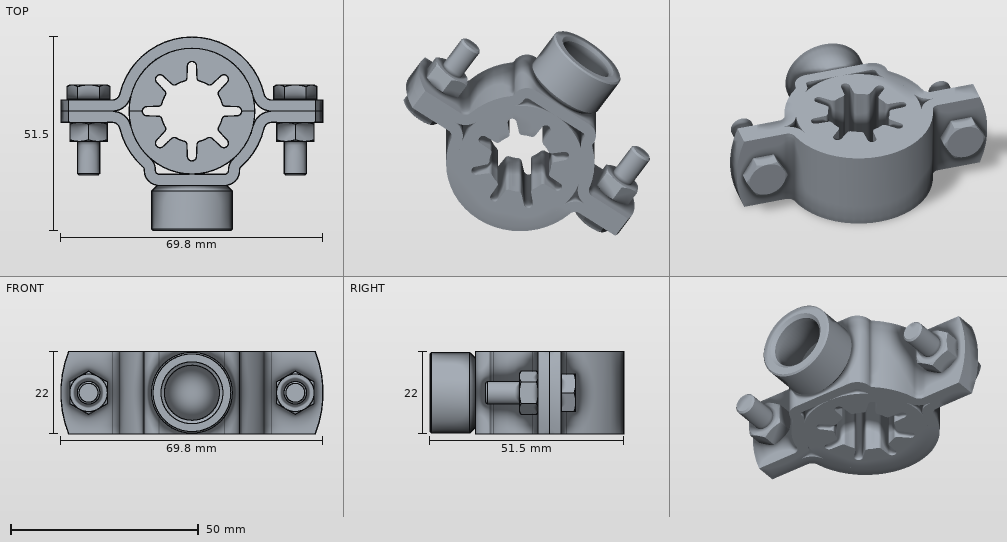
import cadquery as cq
import math


band_width = 22.0
band_thickness = 3.0
liner_radius = 16.75
band_radius = liner_radius + band_thickness
ear_bend_radius = 2.0
ear_tip_x = 34.9
ear_corner_x = 32.8

seat_half_length = 8.7
seat_bend_radius = 1.0
leg_outer_x = seat_half_length + seat_bend_radius + band_thickness

socket_radius = 10.75
socket_length = 12.0
socket_base_chamfer = 1.5
socket_rim_chamfer = 0.4
bore_radius = 7.3
bore_chamfer = 0.9

tooth_count = 8
tooth_radius = 8.25
tooth_corner_radius = 1.0
slot_tip_reach = 13.2
slot_tip_radius = 1.2
slot_mouth_half_width = 1.3

bolt_x = 27.5
bolt_radius = 3.0
bolt_reach = 17.05
bolt_tip_chamfer = 0.5
hex_sides = 6
hex_half_sector = 180 / hex_sides
across_flats = 10.0
hex_corner_radius = across_flats / 2 / math.cos(math.radians(hex_half_sector))
head_top_y = 7.0
washer_face_radius = 4.5
washer_face_height = 0.2
nut_height = 5.0
hex_chamfer_angle = 30

ear_bend_y = band_thickness + ear_bend_radius
ear_bend_distance = band_radius + ear_bend_radius
ear_start_x = math.sqrt(ear_bend_distance**2 - ear_bend_y**2)
ear_angle = math.degrees(math.asin(ear_bend_y / ear_bend_distance))

leg_bend_x = leg_outer_x + seat_bend_radius
leg_bend_distance = band_radius + seat_bend_radius
leg_bend_y = math.sqrt(leg_bend_distance**2 - leg_bend_x**2)
leg_angle = math.degrees(math.acos(leg_bend_x / leg_bend_distance))
leg_end_y = liner_radius - seat_bend_radius


def polar(center, radius, angle):
    """Point at the given angle in degrees on a circle."""
    turn = math.radians(angle)
    return (center[0] + radius * math.cos(turn), center[1] + radius * math.sin(turn))


def curved_strip(center, inner_radius, start, end):
    """Strip of band bent around a centre between two angles."""
    outer_radius = inner_radius + band_thickness
    middle = (start + end) / 2
    return (
        cq.Workplane("XY")
        .moveTo(*polar(center, inner_radius, start))
        .lineTo(*polar(center, outer_radius, start))
        .threePointArc(polar(center, outer_radius, middle), polar(center, outer_radius, end))
        .lineTo(*polar(center, inner_radius, end))
        .threePointArc(polar(center, inner_radius, middle), polar(center, inner_radius, start))
        .close()
        .extrude(band_width / 2, both=True)
    )


def flat_strip(x_min, x_max, y_min, y_max):
    """Straight piece of band with a rectangular outline."""
    return (
        cq.Workplane("XY")
        .center((x_min + x_max) / 2, (y_min + y_max) / 2)
        .rect(x_max - x_min, y_max - y_min)
        .extrude(band_width / 2, both=True)
    )


def make_lug():
    """Right-hand ear, on the +Y side of the parting plane, with its bend and bolt hole."""
    half_width = band_width / 2
    ear = (
        cq.Workplane("XZ")
        .moveTo(ear_start_x, -half_width)
        .lineTo(ear_corner_x, -half_width)
        .threePointArc((ear_tip_x, 0), (ear_corner_x, half_width))
        .lineTo(ear_start_x, half_width)
        .close()
        .extrude(-band_thickness)
    )
    hole = cq.Workplane("XZ").center(bolt_x, 0).circle(bolt_radius).extrude(-band_thickness)
    bend = curved_strip((ear_start_x, ear_bend_y), ear_bend_radius, 180 + ear_angle, 270)
    return ear.cut(hole).union(bend)


def make_upper_strap():
    """Plain arch over the liner with an ear at each end."""
    arch = curved_strip((0, 0), liner_radius, ear_angle, 180 - ear_angle)
    lug = make_lug()
    return arch.union(lug).union(lug.mirror("YZ"))


def make_lower_strap():
    """Strap with a flat seat, shaped on the +Y side and then mirrored to -Y."""
    arc_side = curved_strip((0, 0), liner_radius, ear_angle, leg_angle)
    leg_bend = curved_strip((leg_bend_x, leg_bend_y), seat_bend_radius, 180, 180 + leg_angle)
    leg = flat_strip(leg_outer_x - band_thickness, leg_outer_x, leg_bend_y, leg_end_y)
    seat_bend = curved_strip((seat_half_length, leg_end_y), seat_bend_radius, 0, 90)
    side = make_lug().union(arc_side).union(leg_bend).union(leg).union(seat_bend)
    seat = flat_strip(-seat_half_length, seat_half_length, liner_radius, band_radius)
    return seat.union(side).union(side.mirror("YZ")).mirror("XZ")


def make_socket():
    """Open sleeve standing on the seat, pointing to -Y."""
    body = cq.Workplane("XZ", origin=(0, -band_radius, 0)).circle(socket_radius).extrude(socket_length)
    body = body.faces(">Y").chamfer(socket_base_chamfer)
    body = body.faces("<Y").chamfer(socket_rim_chamfer)
    body = body.faces("<Y").workplane().hole(2 * bore_radius)
    bore_rim = cq.selectors.RadiusNthSelector(0)
    return body.faces("<Y").edges(bore_rim).chamfer(bore_chamfer)


def make_liner_bore():
    """Round bore with tapered, round-ended slots between the gripping teeth."""
    tip_center_x = slot_tip_reach - slot_tip_radius
    mouth_x = math.sqrt(tooth_radius**2 - slot_mouth_half_width**2)
    slot = (
        cq.Workplane("XY")
        .moveTo(0, -slot_mouth_half_width)
        .lineTo(mouth_x, -slot_mouth_half_width)
        .lineTo(tip_center_x, -slot_tip_radius)
        .threePointArc((slot_tip_reach, 0), (tip_center_x, slot_tip_radius))
        .lineTo(mouth_x, slot_mouth_half_width)
        .lineTo(0, slot_mouth_half_width)
        .close()
        .extrude(band_width / 2, both=True)
    )
    bore = cq.Workplane("XY").circle(tooth_radius).extrude(band_width / 2, both=True)
    for index in range(tooth_count):
        bore = bore.union(slot.rotate((0, 0, 0), (0, 0, 1), index * 360 / tooth_count))
    return bore


def make_liner_halves():
    """Two mirrored halves of the toothed liner, split on the plane Y = 0."""
    ring = cq.Workplane("XY").circle(liner_radius).extrude(band_width / 2, both=True)
    ring = ring.cut(make_liner_bore())
    half_width = band_width / 2
    tooth_zone = cq.selectors.BoxSelector(
        (-tooth_radius, -tooth_radius, -half_width), (tooth_radius, tooth_radius, half_width)
    )
    ring = ring.edges("|Z").edges(tooth_zone).fillet(tooth_corner_radius)
    half_space = (
        cq.Workplane("XY")
        .center(0, liner_radius / 2)
        .rect(2 * liner_radius, liner_radius)
        .extrude(band_width / 2, both=True)
    )
    upper = ring.intersect(half_space)
    return [upper, upper.mirror("XZ")]


def hex_blank(y_start, height, corner_angle):
    """Hexagonal prism along +Y with its corners turned by corner_angle from X."""
    return (
        cq.Workplane("XZ")
        .polygon(hex_sides, 2 * hex_corner_radius)
        .extrude(-height)
        .rotate((0, 0, 0), (0, 1, 0), corner_angle)
        .translate((0, y_start, 0))
    )


def corner_cone(y_start, height, chamfer_bottom):
    """Turned envelope that trims the corners of a hexagon at one or both ends."""
    width = hex_corner_radius - across_flats / 2
    depth = width * math.tan(math.radians(hex_chamfer_angle))
    disc = cq.Workplane("XZ").circle(hex_corner_radius).extrude(-height).translate((0, y_start, 0))
    disc = disc.faces(">Y").chamfer(depth, width)
    if chamfer_bottom:
        disc = disc.faces("<Y").chamfer(depth, width)
    return disc


def make_bolt(x):
    """Hexagon bolt at the given X, with its head on the +Y side and a plain shank."""
    head_start = band_thickness + washer_face_height
    head_height = head_top_y - head_start
    head = hex_blank(head_start, head_height, 0).intersect(corner_cone(head_start, head_height, False))
    washer_face = (
        cq.Workplane("XZ", origin=(0, head_start, 0)).circle(washer_face_radius).extrude(washer_face_height)
    )
    shank = (
        cq.Workplane("XZ", origin=(0, head_start, 0))
        .circle(bolt_radius)
        .extrude(head_start + bolt_reach)
        .faces("<Y")
        .chamfer(bolt_tip_chamfer)
    )
    return head.union(washer_face).union(shank).translate((x, 0, 0))


def make_nut(x):
    """Hexagon nut at the given X, bearing on the -Y face of the lower ear."""
    nut_start = -band_thickness - nut_height
    nut = hex_blank(nut_start, nut_height, hex_half_sector)
    nut = nut.intersect(corner_cone(nut_start, nut_height, True))
    hole = cq.Workplane("XZ", origin=(0, -band_thickness, 0)).circle(bolt_radius).extrude(nut_height)
    return nut.cut(hole).translate((x, 0, 0))


upper_strap = make_upper_strap()
lower_strap = make_lower_strap()
socket = make_socket()
liner_halves = make_liner_halves()
bolts = [make_bolt(x) for x in (-bolt_x, bolt_x)]
nuts = [make_nut(x) for x in (-bolt_x, bolt_x)]

result = cq.Compound.makeCompound(
    [body.solids().val() for body in [upper_strap, lower_strap, socket, *liner_halves, *bolts, *nuts]]
)